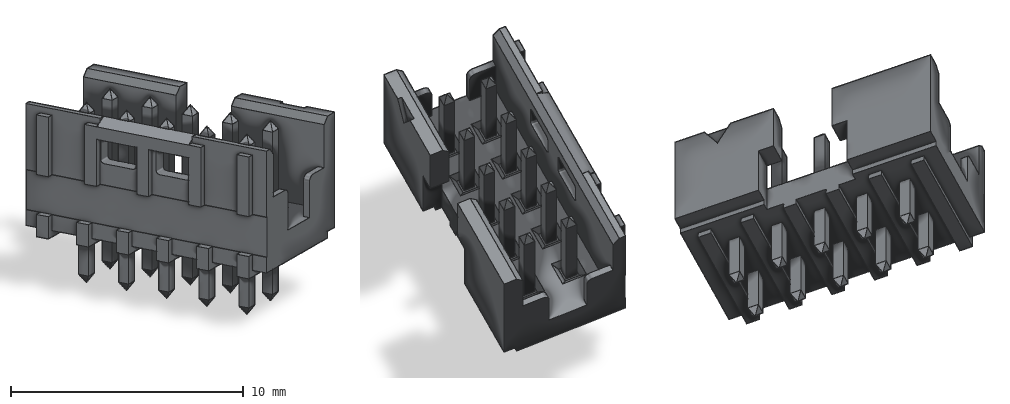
import cadquery as cq


LENGTH = 12.0

COLUMNS = 5
PITCH = LENGTH / (COLUMNS + 1)
ROW_PITCH = PITCH
PIN_WIDTH = 0.5
PIN_TOP = 5.75
PIN_BOTTOM = -2.48
PIN_TIP = 0.41

DEPTH = 6.1
TOP = 5.87
FLOOR = 1.7
RIB_DEPTH = 0.3
BACK_WALL = 0.9
FRONT_WALL = 0.6
END_WALL = 0.3
END_WALL_TOP = 3.6
RIM_CHAMFER = 0.3
BACK = DEPTH / 2
FRONT = -DEPTH / 2 + RIB_DEPTH
INNER_BACK = BACK - BACK_WALL
INNER_FRONT = FRONT + FRONT_WALL

FOOT_HEIGHT = 0.3
STEP_HEIGHT = 0.3
STEP_DEPTH = 0.6
BACK_UNDERSIDE = FOOT_HEIGHT + STEP_HEIGHT

END_SLOT = 1.8
END_SLOT_ROUND = 0.3

KEY_GAP = 2.75
KEY_GAP_WIDE = 4.15
KEY_GAP_WIDE_TOP = 3.3

BAND_BOTTOM = 1.02
BAND_TOP = 2.85
BAND_RECESS = 0.04
RIB_WIDTH = 0.6
RIB_TOP = TOP - RIM_CHAMFER
RIB_X = COLUMNS / 2 * PITCH
FRAME_WIDTH = 5.81
FRAME_OPENING = 4.58
FRAME_OPENING_TOP = 4.99
FRAME_POST = 0.58
WINDOW_WIDTH = 1.75
WINDOW_HEIGHT = 1.16
WINDOW_X = 1.38
WINDOW_ROUND = 0.17

FUNNEL_TOP = 1.14
FUNNEL_BOTTOM = 0.67
FUNNEL_DEPTH = 0.24

MARK_WIDTH = 1.22
MARK_HEIGHT = 1.05
MARK_DEPTH = 0.19
MARK_X = (COLUMNS - 1) / 2 * PITCH


def box(x0, x1, y0, y1, z0, z1):
    """Box between two opposite corners."""
    return cq.Workplane("XY").box(x1 - x0, y1 - y0, z1 - z0, centered=False).translate((x0, y0, z0))


def centred_box(x, width, y0, y1, z0, z1):
    """Box of the given width along X, centred on x."""
    return box(x - width / 2, x + width / 2, y0, y1, z0, z1)


def prism_along_x(points, length):
    """Extrude a Y-Z outline along X, centred on X = 0."""
    return cq.Workplane("YZ").polyline(points).close().extrude(length / 2, both=True)


def shroud():
    """Open-topped housing with stepped underside and chamfered inner rims."""
    outline = [
        (FRONT, FOOT_HEIGHT),
        (BACK - STEP_DEPTH, FOOT_HEIGHT),
        (BACK - STEP_DEPTH, BACK_UNDERSIDE),
        (BACK, BACK_UNDERSIDE),
        (BACK, TOP),
        (INNER_BACK + RIM_CHAMFER, TOP),
        (INNER_BACK, TOP - RIM_CHAMFER),
        (INNER_BACK, END_WALL_TOP),
        (INNER_FRONT, END_WALL_TOP),
        (INNER_FRONT, TOP - RIM_CHAMFER),
        (INNER_FRONT - RIM_CHAMFER, TOP),
        (FRONT, TOP),
    ]
    body = prism_along_x(outline, LENGTH)
    body = body.cut(
        centred_box(0, LENGTH - 2 * END_WALL, INNER_FRONT, INNER_BACK, FLOOR, END_WALL_TOP)
    )
    return body.cut(end_slots())


def end_slots():
    """Slot through both end walls, with rounded shoulders at its mouth."""
    half = END_SLOT / 2
    mouth = half + END_SLOT_ROUND
    shoulder = END_WALL_TOP - END_SLOT_ROUND
    return (
        cq.Workplane("YZ")
        .moveTo(-half, FLOOR)
        .lineTo(half, FLOOR)
        .lineTo(half, shoulder)
        .radiusArc((mouth, END_WALL_TOP), END_SLOT_ROUND)
        .lineTo(-mouth, END_WALL_TOP)
        .radiusArc((-half, shoulder), END_SLOT_ROUND)
        .close()
        .extrude(LENGTH / 2, both=True)
    )


def key_gap():
    """Gap through the back wall, wider in its lower part."""
    upper = centred_box(0, KEY_GAP, INNER_BACK, BACK, 0, TOP)
    lower = centred_box(0, KEY_GAP_WIDE, INNER_BACK, BACK, 0, KEY_GAP_WIDE_TOP)
    return upper.union(lower)


def pin_one_mark():
    """Triangular notch in the back face, widest at the top rim."""
    corners = [
        (MARK_X - MARK_WIDTH / 2, TOP),
        (MARK_X + MARK_WIDTH / 2, TOP),
        (MARK_X, TOP - MARK_HEIGHT),
    ]
    notch = cq.Workplane("XZ").polyline(corners).close().extrude(MARK_DEPTH)
    return notch.translate((0, BACK, 0))


def front_ribs():
    """Two plain ribs and a framed pair of openings standing on the front wall."""
    y0 = FRONT - RIB_DEPTH
    y1 = FRONT
    ribs = centred_box(0, FRAME_WIDTH, y0, y1, BAND_TOP, RIB_TOP)
    ribs = ribs.cut(centred_box(0, FRAME_OPENING, y0, y1, BAND_TOP, FRAME_OPENING_TOP))
    ribs = ribs.union(centred_box(0, FRAME_POST, y0, y1, BAND_TOP, RIB_TOP))
    for x in (-RIB_X, RIB_X):
        ribs = ribs.union(centred_box(x, RIB_WIDTH, y0, y1, BAND_TOP, RIB_TOP))
    return ribs


def rim_slope(body):
    """Slope the front rim down to the top of the frame."""
    crest = INNER_FRONT - RIM_CHAMFER
    front = FRONT - RIB_DEPTH
    below = [(crest, TOP), (crest, RIB_TOP), (front, RIB_TOP)]
    above = [(crest, TOP), (front, TOP), (front, RIB_TOP)]
    return body.union(prism_along_x(below, FRAME_OPENING)).cut(prism_along_x(above, FRAME_OPENING))


def windows():
    """Rounded windows through the front wall, one in each frame opening."""
    z0 = FRAME_OPENING_TOP - WINDOW_HEIGHT
    tools = cq.Workplane("XY")
    for x in (-WINDOW_X, WINDOW_X):
        opening = centred_box(x, WINDOW_WIDTH, FRONT, INNER_FRONT, z0, FRAME_OPENING_TOP)
        tools = tools.union(opening.edges("|Y").fillet(WINDOW_ROUND))
    return tools


def feet():
    """Standoff rails between the pin columns, turned up the front wall."""
    rails = cq.Workplane("XY")
    for i in range(COLUMNS + 1):
        x = (i - COLUMNS / 2) * PITCH
        rails = rails.union(centred_box(x, RIB_WIDTH, FRONT - RIB_DEPTH, INNER_BACK, 0, FOOT_HEIGHT))
        rails = rails.union(centred_box(x, RIB_WIDTH, FRONT - RIB_DEPTH, FRONT, 0, BAND_BOTTOM))
    return rails


def pin():
    """Square pin with a pyramid point at each end."""
    half = PIN_WIDTH / 2
    outline = [
        (0, PIN_BOTTOM),
        (half, PIN_BOTTOM + PIN_TIP),
        (half, PIN_TOP - PIN_TIP),
        (0, PIN_TOP),
        (-half, PIN_TOP - PIN_TIP),
        (-half, PIN_BOTTOM + PIN_TIP),
    ]
    across_x = cq.Workplane("XZ").polyline(outline).close().extrude(half, both=True)
    return across_x.intersect(prism_along_x(outline, PIN_WIDTH))


def funnel():
    """Tapered square pocket sunk into the floor."""
    return (
        cq.Workplane("XY", origin=(0, 0, FLOOR - FUNNEL_DEPTH))
        .rect(FUNNEL_BOTTOM, FUNNEL_BOTTOM)
        .workplane(offset=FUNNEL_DEPTH)
        .rect(FUNNEL_TOP, FUNNEL_TOP)
        .loft()
    )


pin_places = [
    ((column - (COLUMNS - 1) / 2) * PITCH, row * ROW_PITCH / 2, 0)
    for column in range(COLUMNS)
    for row in (-1, 1)
]

result = shroud().cut(key_gap()).cut(pin_one_mark())
result = rim_slope(result.union(front_ribs()))
result = result.cut(windows())
recessed_band = centred_box(0, LENGTH, FRONT, FRONT + BAND_RECESS, BAND_BOTTOM, BAND_TOP)
result = result.cut(recessed_band)
result = result.union(feet())
for place in pin_places:
    result = result.cut(funnel().translate(place))
for place in pin_places:
    result = result.union(pin().translate(place))